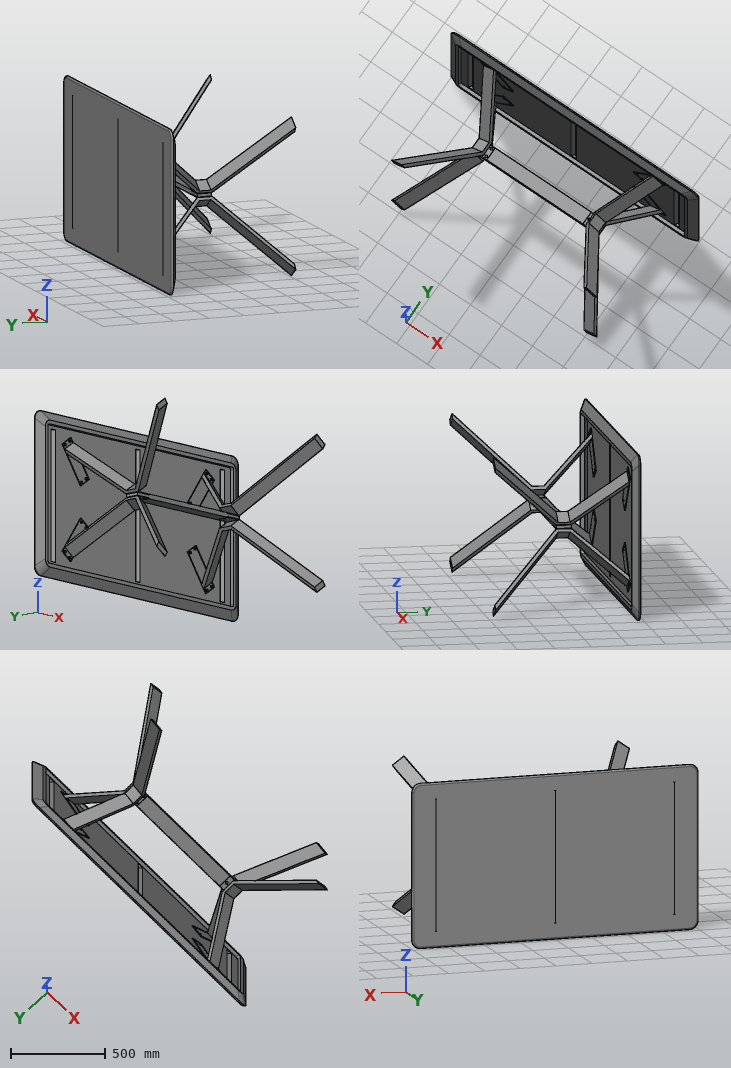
import cadquery as cq
import math


table_length = 1600.0
table_width = 900.0
table_height = 760.0
top_thickness = 40.0
edge_rounding = 10.4
bevel_inset = 50.0
corner_radius = 50.0
underside_corner_radius = 40.0
rim_width = 20.0
recess_depth = 20.0
recess_corner_radius = 13.0
underside_y = table_height - top_thickness
recess_floor_y = underside_y + recess_depth

rounding_share = 0.99

groove_width = 34.0
groove_depth = groove_width / 2
groove_length = 720.0
groove_spacing = 665.0

stretcher_y = 418.0
stretcher_height = 80.0
stretcher_thickness = 25.0
stretcher_half_length = 400.0
tab_length = 90.0
bracket_thickness = 5.0
tab_thickness = stretcher_thickness - 2 * bracket_thickness
bracket_hole_diameter = 15.0
left_bracket_holes = 2
right_bracket_holes = 1
bracket_hole_inset = 15.0
bracket_hole_spacing = 50.0

leg_angle = 54.8
leg_width = 80.0
leg_thickness = 20.0
leg_side_offset = 240.0
elbow_reach = 258.0
elbow_height = 64.0
foot_reach = 696.0
underside_reach = 536.0

mount_thickness = 5.0
mount_length = 250.0
mount_outer_reach = 582.0
mount_hole_diameter = 13.0
mount_hole_inset = 13.0
mount_hole_spacing = 45.0


def rounded_slab(length, width, radius, bottom_y, height):
    """Slab with rounded corners in plan, standing on bottom_y."""
    return (
        cq.Workplane("XY")
        .box(length, height, width)
        .edges("|Y")
        .fillet(radius)
        .translate((0, bottom_y + height / 2, 0))
    )


def plan_outline(length, width, radius, y):
    """Closed wire of a rounded rectangle lying at height y."""
    return rounded_slab(length, width, radius, y, 16.0).faces("<Y").wires().val()


def make_tabletop():
    rim_length = table_length - 2 * bevel_inset
    rim_breadth = table_width - 2 * bevel_inset
    band_y = table_height - edge_rounding

    bevel = cq.Solid.makeLoft(
        [
            plan_outline(rim_length, rim_breadth, underside_corner_radius, underside_y),
            plan_outline(table_length, table_width, corner_radius, band_y),
        ],
        True,
    )
    band = rounded_slab(table_length, table_width, corner_radius, band_y, edge_rounding)
    band = band.faces(">Y").edges().fillet(edge_rounding * rounding_share)
    top = band.union(cq.Workplane(obj=bevel))

    recess = rounded_slab(
        rim_length - 2 * rim_width,
        rim_breadth - 2 * rim_width,
        recess_corner_radius,
        underside_y,
        recess_depth,
    )
    top = top.cut(recess)

    for groove_x in (-groove_spacing, 0, groove_spacing):
        groove = (
            cq.Workplane("XY")
            .moveTo(groove_x - groove_width / 2, recess_floor_y)
            .lineTo(groove_x, recess_floor_y + groove_depth)
            .lineTo(groove_x + groove_width / 2, recess_floor_y)
            .close()
            .extrude(groove_length / 2, both=True)
        )
        top = top.cut(groove)
    return top


def make_stretcher():
    body_length = 2 * (stretcher_half_length - tab_length)
    body = cq.Workplane("XY").box(body_length, stretcher_height, stretcher_thickness)
    tabs = cq.Workplane("XY").box(2 * stretcher_half_length, stretcher_height, tab_thickness)
    return body.union(tabs).translate((0, stretcher_y, 0))


def make_bent_bar():
    """Bent bar of one leg, with its plane along X and its width along Z."""
    elbow_top = stretcher_y + elbow_height / 2
    elbow_bottom = stretcher_y - elbow_height / 2
    mount_y = recess_floor_y - mount_thickness

    upper_angle = math.atan2(underside_reach - elbow_reach, underside_y - elbow_top)
    lower_angle = math.atan2(foot_reach - elbow_reach, elbow_bottom)

    inner_elbow = elbow_reach - leg_thickness
    inner_top = elbow_top + leg_thickness * math.tan(upper_angle / 2)
    inner_bottom = elbow_bottom - leg_thickness * math.tan(lower_angle / 2)

    mount_reach = elbow_reach + (mount_y - elbow_top) * math.tan(upper_angle)
    inner_mount = mount_reach - leg_thickness / math.cos(upper_angle)
    inner_foot = foot_reach - leg_thickness / math.cos(lower_angle)
    return (
        cq.Workplane("XY", origin=(0, 0, -leg_side_offset - leg_width))
        .polyline(
            [
                (foot_reach, 0),
                (elbow_reach, elbow_bottom),
                (elbow_reach, elbow_top),
                (mount_reach, mount_y),
                (inner_mount, mount_y),
                (inner_elbow, inner_top),
                (inner_elbow, inner_bottom),
                (inner_foot, 0),
            ]
        )
        .close()
        .extrude(leg_width)
    )


def make_mounting_plate():
    """Screw plate under the recess floor, in the same frame as the bent bar."""
    hole_row_spacing = mount_length - 2 * mount_hole_inset
    plate = (
        cq.Workplane("XZ")
        .rect(mount_length, leg_width)
        .extrude(mount_thickness)
        .faces("<Y")
        .workplane()
        .rarray(hole_row_spacing, mount_hole_spacing, 2, 2)
        .hole(mount_hole_diameter)
    )
    centre_reach = mount_outer_reach - mount_length / 2
    return plate.translate((centre_reach, recess_floor_y, -leg_side_offset - leg_width / 2))


def make_bracket(hole_count):
    """Plate that lies against the +X, +Z side of the stretcher tab, with one column of holes."""
    bracket = (
        cq.Workplane("XY")
        .rect(tab_length, stretcher_height)
        .extrude(bracket_thickness)
        .faces(">Z")
        .workplane()
        .center(bracket_hole_inset - tab_length / 2, 0)
        .rarray(16, bracket_hole_spacing, 1, hole_count)
        .hole(bracket_hole_diameter)
    )
    return bracket.translate((stretcher_half_length - tab_length / 2, stretcher_y, tab_thickness / 2))


def make_leg(x_side, z_side):
    """One leg: bent bar, mounting plate and stretcher bracket in one piece."""
    bracket = make_bracket(left_bracket_holes if x_side < 0 else right_bracket_holes)
    bar = make_bent_bar().union(make_mounting_plate())
    leg = bar.rotate((0, 0, 0), (0, 1, 0), -leg_angle).union(bracket)
    if x_side < 0:
        leg = leg.mirror("YZ")
    if z_side < 0:
        leg = leg.mirror("XY")
    return leg


tabletop = make_tabletop()
stretcher = make_stretcher()
legs = [make_leg(x_side, z_side) for x_side in (-1, 1) for z_side in (-1, 1)]

result = cq.Compound.makeCompound(
    [tabletop.val(), stretcher.val(), *[leg.val() for leg in legs]]
)